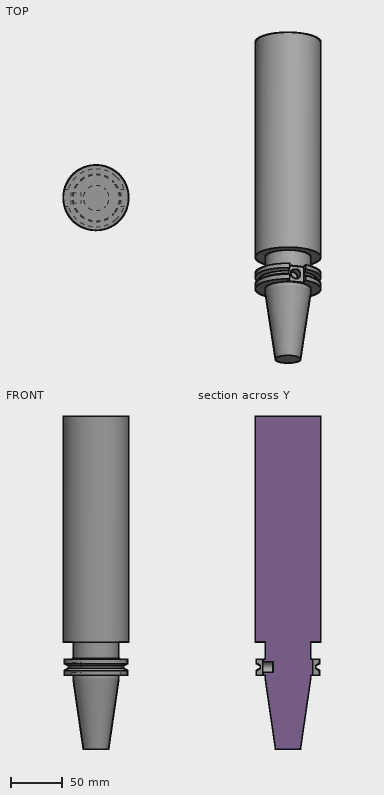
import cadquery as cq
import math

total_length = 322.2
body_radius = 31.75
body_bottom = 103.8

taper_length = 68.3
taper_rate = 7 / 24
shank_radius = 22.2
taper_tip_radius = shank_radius - taper_length * taper_rate / 2

flange_radius = 31.75
flange_bottom = 71.5
flange_top = 87.3
groove_center = 79.5
groove_width = 6.8
groove_depth = 3.5
groove_wall_angle = 30.0
neck_chamfer = 1.0

slot_width = 16.0
slot_floor_distance = 24.2

hole_diameter = 9.7
hole_depth = 9.7


def make_turned_body():
    """Revolve the shank, grooved flange, neck and body about Z."""
    groove_radius = flange_radius - groove_depth
    half_mouth = groove_width / 2
    half_floor = half_mouth - groove_depth * math.tan(math.radians(groove_wall_angle))
    profile = [
        (0, 0),
        (taper_tip_radius, 0),
        (shank_radius, taper_length),
        (shank_radius, flange_bottom),
        (flange_radius, flange_bottom),
        (flange_radius, groove_center - half_mouth),
        (groove_radius, groove_center - half_floor),
        (groove_radius, groove_center + half_floor),
        (flange_radius, groove_center + half_mouth),
        (flange_radius, flange_top),
        (shank_radius + neck_chamfer, flange_top),
        (shank_radius, flange_top + neck_chamfer),
        (shank_radius, body_bottom),
        (body_radius, body_bottom),
        (body_radius, total_length),
        (0, total_length),
    ]
    return cq.Workplane("XZ").polyline(profile).close().revolve(360, (0, 0, 0), (0, 1, 0))


def make_drive_slot(side):
    """Cutter for a slot through the flange height; side is -1 or +1 along X."""
    radial_length = flange_radius - slot_floor_distance
    slot_height = flange_top + neck_chamfer - flange_bottom
    return (
        cq.Workplane("XY")
        .box(radial_length, slot_width, slot_height, centered=(True, True, False))
        .translate((side * (slot_floor_distance + radial_length / 2), 0, flange_bottom))
    )


def make_slot_hole():
    """Cutter for the hole drilled along +X into the -X slot floor."""
    hole_height = (flange_bottom + flange_top) / 2
    return (
        cq.Workplane("YZ", origin=(-slot_floor_distance, 0, hole_height))
        .circle(hole_diameter / 2)
        .extrude(hole_depth)
    )


result = (
    make_turned_body()
    .cut(make_drive_slot(-1))
    .cut(make_drive_slot(1))
    .cut(make_slot_hole())
)